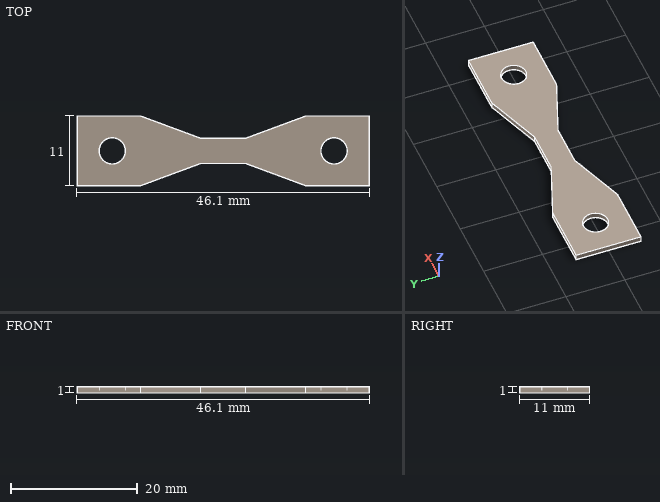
import cadquery as cq

length = 46.1
width = 11.0
thickness = 1.0

tab_length = 10.05
neck_length = 7.1
neck_width = 4.0

hole_diameter = 4.1
hole_spacing = 35.0

end_x = length / 2
shoulder_x = end_x - tab_length
neck_x = neck_length / 2
tab_y = width / 2
neck_y = neck_width / 2

upper_edge = [
    (-end_x, tab_y),
    (-shoulder_x, tab_y),
    (-neck_x, neck_y),
    (neck_x, neck_y),
    (shoulder_x, tab_y),
    (end_x, tab_y),
]
lower_edge = [(x, -y) for x, y in reversed(upper_edge)]

plate = cq.Workplane("XY").polyline(upper_edge + lower_edge).close().extrude(thickness)

holes = (
    cq.Workplane("XY")
    .pushPoints([(-hole_spacing / 2, 0), (hole_spacing / 2, 0)])
    .circle(hole_diameter / 2)
    .extrude(thickness)
)

result = plate.cut(holes)